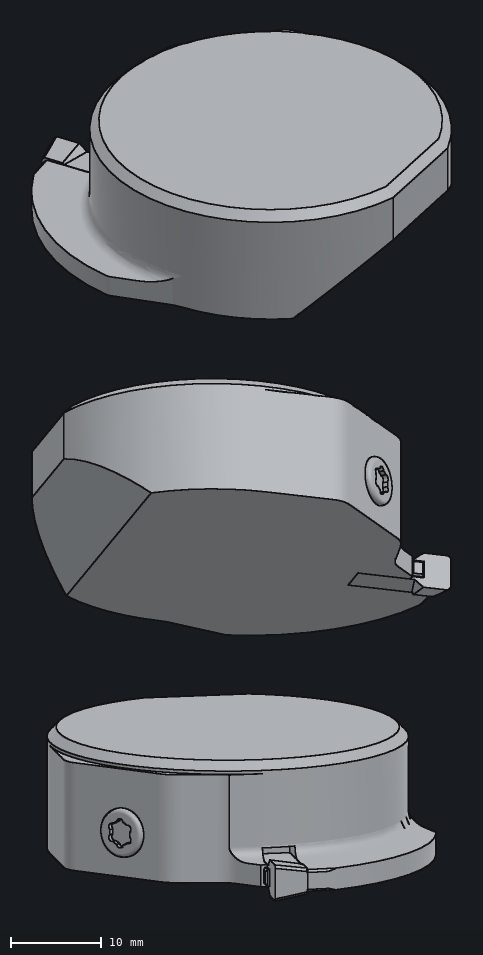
import cadquery as cq
import math

BODY_RADIUS = 20.0
BODY_HEIGHT = 13.55
BODY_CHAMFER = 1.03
FLAT_X = 19.05
BEVEL_START_X = 12.0

BOSS_HEIGHT = 12.15
BOSS_CORNER_X = -9.05
BOSS_SIDE_X = -18.75
INNER_CORNER = (-19.75, 3.8)
INNER_BLEND_LENGTH = 1.03
TOP_CORNER_RADIUS = 3.0
SIDE_CORNER_RADIUS = 4.0
SCREW_FACE_OFFSET = BODY_RADIUS - BOSS_CORNER_X
BOSS_SIDE_CORNER = (BOSS_SIDE_X, BOSS_SIDE_X + SCREW_FACE_OFFSET)

BLADE_HEIGHT = 2.45
BLADE_FILLET = 1.6
BLADE_FRONT_X = -26.6
BLADE_SHOULDER = (-26.4, -6.2)
BLADE_ARC_MIDDLE = (-20.55, -15.42)
BLADE_TIP = (-8.2, -21.85)
BLADE_TIP_ROUND = 1.4
BLADE_BACK_BEND = (-1.0, -20.1)
BLADE_REAR_OFFSET = INNER_CORNER[1] - INNER_CORNER[0]
BLADE_REAR_X = -22.85
BLADE_EDGE_CHAMFER = 0.3

SCREW_DIAMETER = 5.5
SCREW_HEAD_HEIGHT = 0.65
SCREW_HEAD_ROUND = 0.45
SCREW_Y = 14.6
SCREW_Z = 5.05
SOCKET_CORE_RADIUS = 1.35
SOCKET_LOBE_CENTER_RADIUS = 1.2
SOCKET_LOBE_RADIUS = 0.4
SOCKET_LOBE_COUNT = 6
SOCKET_DEPTH = 0.6

INSERT_WIDTH = 3.75
INSERT_ROOT_X = -16.78
SEAT_HEIGHT = 3.8
NECK_HEIGHT = 2.5
HEAD_TIP_X = -27.55
HEAD_REAR_TIP_X = -27.0
HEAD_SHOULDER_X = -24.33
HEAD_SLOPE_END_X = -23.3
HEAD_REAR_SLOPE_END_X = -24.15
HEAD_TOP = 3.3
HEAD_REAR_TOP = 2.7
HEAD_BOTTOM = -0.8
HEAD_REAR_BOTTOM = -0.25
HEAD_EDGE_CHAMFER = 0.33
BUMP_WIDTH = BLADE_REAR_X - HEAD_SHOULDER_X
BUMP_DEPTH = 0.45
BUMP_HEIGHT = 1.85


def make_disc():
    """Disc cut by a vertical flat, with its top chamfer and an underside bevel."""
    disc = cq.Workplane("XY").circle(BODY_RADIUS).extrude(BODY_HEIGHT)
    disc = disc.faces(">Z").edges().chamfer(BODY_CHAMFER)
    side_profile = [
        (-BODY_RADIUS, 0),
        (BEVEL_START_X, 0),
        (FLAT_X, FLAT_X - BEVEL_START_X),
        (FLAT_X, BODY_HEIGHT - BODY_CHAMFER),
        (FLAT_X - BODY_CHAMFER, BODY_HEIGHT),
        (-BODY_RADIUS, BODY_HEIGHT),
    ]
    envelope = cq.Workplane("XZ").polyline(side_profile).close().extrude(BODY_RADIUS, both=True)
    return disc.intersect(envelope)


def inner_blend():
    """Start, middle and end of the arc tangent to the boss side and to the blade's rear edge."""
    inner_corner = cq.Vector(*INNER_CORNER)
    along_boss = (cq.Vector(*BOSS_SIDE_CORNER) - inner_corner).normalized()
    along_blade = cq.Vector(-1, -1).normalized()
    half_angle = along_boss.getAngle(along_blade) / 2
    bisector = (along_boss + along_blade).normalized()
    gap = INNER_BLEND_LENGTH * (1 - math.sin(half_angle)) / math.cos(half_angle)
    points = [
        inner_corner + along_boss * INNER_BLEND_LENGTH,
        inner_corner + bisector * gap,
        inner_corner + along_blade * INNER_BLEND_LENGTH,
    ]
    return [(point.x, point.y) for point in points]


def make_boss():
    """Boss whose inner blend is cut off by a flat wall tangent to the disc."""
    boss_blend_end, blend_middle, blade_blend_end = inner_blend()
    boss = (
        cq.Workplane("XY")
        .moveTo(0, BODY_RADIUS)
        .lineTo(BOSS_CORNER_X, BODY_RADIUS)
        .lineTo(*BOSS_SIDE_CORNER)
        .lineTo(*boss_blend_end)
        .threePointArc(blend_middle, blade_blend_end)
        .lineTo(blade_blend_end[0], 0)
        .lineTo(0, 0)
        .close()
        .extrude(BOSS_HEIGHT)
    )
    rounded_corners = [
        (BOSS_CORNER_X, BODY_RADIUS, TOP_CORNER_RADIUS),
        (*BOSS_SIDE_CORNER, SIDE_CORNER_RADIUS),
    ]
    for x, y, radius in rounded_corners:
        corner = cq.selectors.NearestToPointSelector((x, y, BOSS_HEIGHT / 2))
        boss = boss.edges("|Z").edges(corner).fillet(radius)
    wall_limit = cq.Workplane("XY").box(BODY_RADIUS, BODY_RADIUS, BOSS_HEIGHT, centered=False)
    return boss.intersect(wall_limit.translate((-BODY_RADIUS, 0, 0)))


def blade_prism(height):
    boss_blend_end, blend_middle, blade_blend_end = inner_blend()
    prism = (
        cq.Workplane("XY")
        .moveTo(BLADE_FRONT_X, -INSERT_WIDTH)
        .lineTo(*BLADE_SHOULDER)
        .threePointArc(BLADE_ARC_MIDDLE, BLADE_TIP)
        .lineTo(*BLADE_BACK_BEND)
        .lineTo(0, -BODY_RADIUS)
        .lineTo(0, 0)
        .lineTo(*boss_blend_end)
        .threePointArc(blend_middle, blade_blend_end)
        .lineTo(BLADE_REAR_X, BLADE_REAR_X + BLADE_REAR_OFFSET)
        .lineTo(BLADE_REAR_X, -INSERT_WIDTH)
        .close()
        .extrude(height)
    )
    tip = cq.selectors.NearestToPointSelector((*BLADE_TIP, height / 2))
    return prism.edges("|Z").edges(tip).fillet(BLADE_TIP_ROUND)


def make_root_fillet():
    """Concave fillet around the disc, running straight along the boss side of Y = 0."""
    wall = BODY_RADIUS
    reach = BODY_RADIUS + BLADE_FILLET
    top = BLADE_HEIGHT + BLADE_FILLET
    bulge = BLADE_FILLET * (1 - math.sqrt(0.5))
    profile = (
        cq.Workplane("XZ")
        .moveTo(0, 0)
        .lineTo(-reach, 0)
        .lineTo(-reach, BLADE_HEIGHT)
        .threePointArc((-wall - bulge, BLADE_HEIGHT + bulge), (-wall, top))
        .lineTo(0, top)
        .close()
    )
    ring = profile.revolve(360, (0, 0, 0), (0, 1, 0))
    straight_length = INNER_CORNER[1] + INNER_BLEND_LENGTH
    straight = profile.toPending().extrude(-straight_length)
    return ring.union(straight).intersect(blade_prism(top))


def make_blade():
    blade = blade_prism(BLADE_HEIGHT)
    front_middle_y = (BLADE_SHOULDER[1] - INSERT_WIDTH) / 2
    for z in (0, BLADE_HEIGHT):
        edge = cq.selectors.NearestToPointSelector((BLADE_FRONT_X, front_middle_y, z))
        blade = blade.edges(edge).chamfer(BLADE_EDGE_CHAMFER)
    return blade.union(make_root_fillet())


def screw_plane(height):
    """Plane parallel to the screw face, at the given height above it."""
    shift = height / math.sqrt(2)
    origin = (SCREW_Y - SCREW_FACE_OFFSET - shift, SCREW_Y + shift, SCREW_Z)
    return cq.Plane(origin=origin, xDir=(0, 0, 1), normal=(-1, 1, 0))


def add_screw_head(holder):
    head = cq.Workplane(screw_plane(0)).circle(SCREW_DIAMETER / 2).extrude(SCREW_HEAD_HEIGHT)
    rim = cq.selectors.DirectionMinMaxSelector(cq.Vector(-1, 1, 0), True)
    head = head.faces(rim).edges().fillet(SCREW_HEAD_ROUND)
    top = cq.Workplane(screw_plane(SCREW_HEAD_HEIGHT))
    socket = top.circle(SOCKET_CORE_RADIUS).extrude(-SOCKET_DEPTH)
    lobes = (
        top.polarArray(SOCKET_LOBE_CENTER_RADIUS, 0, 360, SOCKET_LOBE_COUNT)
        .circle(SOCKET_LOBE_RADIUS)
        .extrude(-SOCKET_DEPTH)
    )
    return holder.union(head).cut(socket).cut(lobes)


def make_neck(height):
    """Straight shank from the head into the disc, with its rake side on Y = 0."""
    length = INSERT_ROOT_X - HEAD_SHOULDER_X
    neck = cq.Workplane("XY").box(length, INSERT_WIDTH, height, centered=False)
    return neck.translate((HEAD_SHOULDER_X, -INSERT_WIDTH, 0))


def head_outline(tip_x, slope_end_x, bottom, top):
    return [
        (tip_x, bottom),
        (tip_x, top),
        (HEAD_SHOULDER_X, top),
        (slope_end_x, NECK_HEIGHT),
        (slope_end_x, 0),
        (HEAD_SHOULDER_X, bottom),
    ]


def make_insert():
    rake = head_outline(HEAD_TIP_X, HEAD_SLOPE_END_X, HEAD_BOTTOM, HEAD_TOP)
    rear = head_outline(HEAD_REAR_TIP_X, HEAD_REAR_SLOPE_END_X, HEAD_REAR_BOTTOM, HEAD_REAR_TOP)
    head = (
        cq.Workplane("XZ")
        .polyline(rake)
        .close()
        .workplane(offset=INSERT_WIDTH)
        .polyline(rear)
        .close()
        .loft(ruled=True)
    )
    middle_x = (HEAD_TIP_X + HEAD_REAR_TIP_X) / 2
    for z in ((HEAD_TOP + HEAD_REAR_TOP) / 2, (HEAD_BOTTOM + HEAD_REAR_BOTTOM) / 2):
        edge = cq.selectors.NearestToPointSelector((middle_x, -INSERT_WIDTH / 2, z))
        head = head.edges(edge).chamfer(HEAD_EDGE_CHAMFER)
    bump = (
        cq.Workplane("XY")
        .box(BUMP_WIDTH, BUMP_DEPTH, BUMP_HEIGHT, centered=(False, False, True))
        .faces(">Y")
        .edges()
        .chamfer(BUMP_DEPTH / 2)
        .translate((HEAD_SHOULDER_X, 0, NECK_HEIGHT / 2))
    )
    return head.union(make_neck(NECK_HEIGHT)).union(bump)


def make_holder():
    holder = make_disc().union(make_boss()).union(make_blade())
    holder = holder.cut(make_neck(SEAT_HEIGHT))
    return add_screw_head(holder)


holder = make_holder()
insert = make_insert()
result = cq.Compound.makeCompound([*holder.solids().vals(), *insert.solids().vals()])